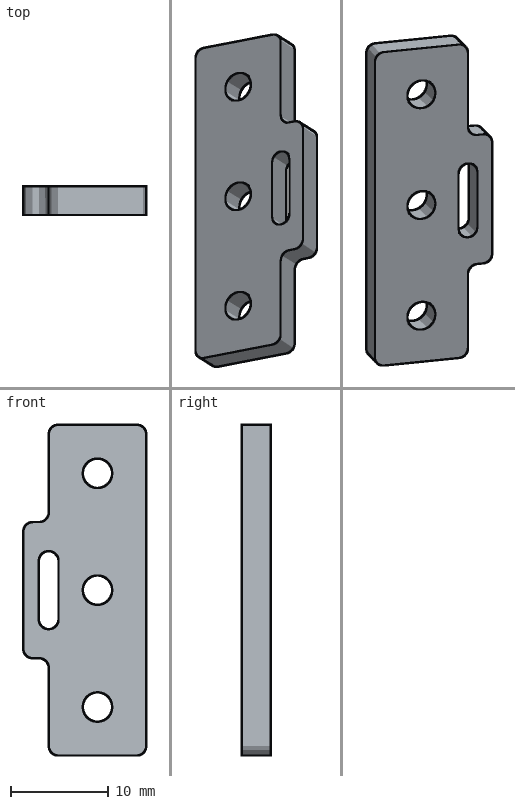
import cadquery as cq

height = 33.97
total_width = 12.65
thickness = 3.0
body_width = 10.02
tab_height = 14.0
corner_radius = 1.0

hole_diameter = 3.0
hole_spacing = 12.0

slot_width = 2.0
slot_length = 7.98

body_left = total_width - body_width
body_center = body_left + body_width / 2


def block(x_min, x_max, block_height):
    """Full-thickness block centred on Z = 0 with its front face at Y = 0."""
    width = x_max - x_min
    return cq.Workplane("XY").box(width, thickness, block_height).translate(
        (x_min + width / 2, thickness / 2, 0)
    )


def cutter_plane():
    """Sketch plane on the front face; cutters extrude toward +Y by a negative distance."""
    return cq.Workplane("XZ")


body = block(body_left, total_width, height)
tab = block(0, body_center, tab_height)
plate = body.union(tab).edges("|Y").fillet(corner_radius)

hole_centers = [(body_center, row * hole_spacing) for row in (-1, 0, 1)]
holes = cutter_plane().pushPoints(hole_centers).circle(hole_diameter / 2).extrude(-thickness)

slot = cutter_plane().center(body_left, 0).slot2D(slot_length, slot_width, 90).extrude(-thickness)

result = plate.cut(holes).cut(slot)